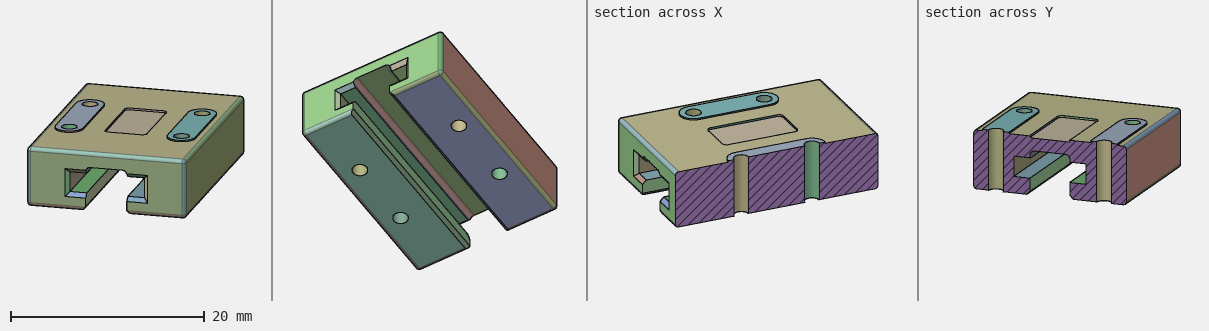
import cadquery as cq

block_width = 17.0
block_length = 23.0
total_height = 6.5
pad_height = 0.15
block_height = total_height - pad_height
edge_radius = 0.4

mouth_width = 4.4
mouth_top = 4.74
mouth_top_radius = 0.5
mouth_chamfer = 0.4
groove_width = 7.98
groove_floor = 1.82
groove_ceiling = 3.95
groove_lead_in = 0.44

hole_spacing_x = 12.0
hole_spacing_y = 8.0
hole_diameter = 1.6
pad_width = 3.0

recess_width = 4.46
recess_length = 8.5
recess_corner_radius = 0.5
recess_depth = 0.2


def rounded_block():
    block = cq.Workplane("XY").box(block_width, block_length, block_height, centered=(True, True, False))
    return block.edges().fillet(edge_radius)


def channel_mouth():
    """Slot open at the underside, rounded at its top and widened by chamfers at the bottom."""
    slot = (
        cq.Workplane("XY")
        .box(mouth_width, block_length, mouth_top, centered=(True, True, False))
        .edges("|Y and >Z")
        .fillet(mouth_top_radius)
    )
    half_mouth = mouth_width / 2
    flare = (
        cq.Workplane("XZ")
        .moveTo(-half_mouth - mouth_chamfer, 0)
        .lineTo(half_mouth + mouth_chamfer, 0)
        .lineTo(half_mouth, mouth_chamfer)
        .lineTo(-half_mouth, mouth_chamfer)
        .close()
        .extrude(block_length / 2, both=True)
    )
    return slot.union(flare)


def channel_groove():
    """Wide cross part of the T, flared at 45 degrees towards both end faces."""
    groove_height = groove_ceiling - groove_floor
    groove_middle = (groove_ceiling + groove_floor) / 2
    groove = cq.Workplane("XY").box(groove_width, block_length, groove_height)
    lead_in = (
        cq.Workplane("XZ", origin=(0, -block_length / 2, 0))
        .rect(groove_width + 2 * groove_lead_in, groove_height + 2 * groove_lead_in)
        .workplane(offset=-groove_lead_in)
        .rect(groove_width, groove_height)
        .loft(ruled=True)
    )
    groove = groove.union(lead_in).union(lead_in.mirror("XZ"))
    return groove.translate((0, 0, groove_middle))


def pads():
    return (
        cq.Workplane("XY", origin=(0, 0, block_height))
        .pushPoints([(-hole_spacing_x / 2, 0), (hole_spacing_x / 2, 0)])
        .slot2D(hole_spacing_y + pad_width, pad_width, 90)
        .extrude(pad_height)
    )


def screw_holes():
    return (
        cq.Workplane("XY")
        .rarray(hole_spacing_x, hole_spacing_y, 2, 2)
        .circle(hole_diameter / 2)
        .extrude(total_height)
    )


def label_recess():
    return (
        cq.Workplane("XY", origin=(0, 0, block_height))
        .rect(recess_width, recess_length)
        .extrude(-recess_depth)
        .edges("|Z")
        .fillet(recess_corner_radius)
    )


result = rounded_block().union(pads())
for cutter in (channel_mouth(), channel_groove(), screw_holes(), label_recess()):
    result = result.cut(cutter)